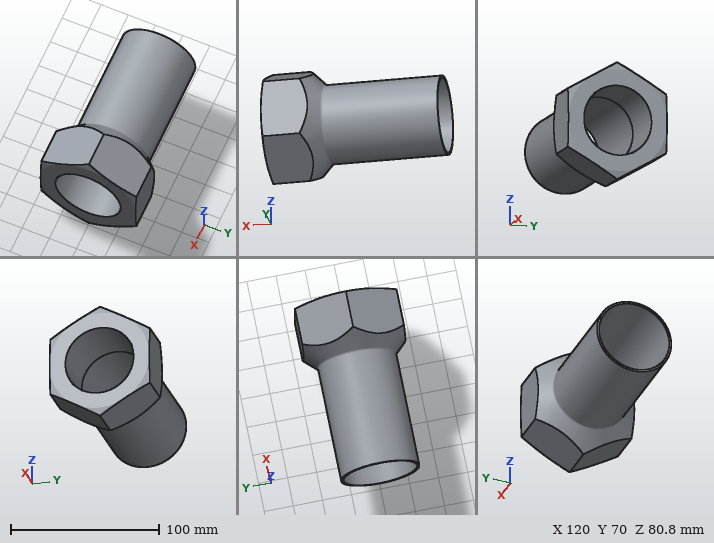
import cadquery as cq
import math

total_length = 120.0
tube_diameter = 54.0
tube_bore_diameter = 50.9
nut_bore_diameter = 48.0
across_flats = 70.0

tube_length = 79.1
blend_radius = 2.0
cone_angle = math.radians(45)

chamfer_angle = math.radians(15)

tube_radius = tube_diameter / 2
flat_radius = across_flats / 2
across_corners = across_flats / math.cos(math.radians(30))
corner_radius = across_corners / 2


def blend_point(angle):
    """Point on the concave blend where its tangent has turned by the given angle."""
    x = tube_length + blend_radius * math.sin(angle)
    radius = tube_radius + blend_radius * (1 - math.cos(angle))
    return (x, radius)


def turned_body():
    """Solid tube, concave blend, cone and chamfered head, turned about X."""
    cone_start = blend_point(cone_angle)
    cone_end_x = cone_start[0] + (corner_radius - cone_start[1]) / math.tan(cone_angle)
    chamfer_length = (corner_radius - flat_radius) * math.tan(chamfer_angle)
    return (
        cq.Workplane("XY")
        .lineTo(0, tube_radius)
        .lineTo(tube_length, tube_radius)
        .threePointArc(blend_point(cone_angle / 2), cone_start)
        .lineTo(cone_end_x, corner_radius)
        .lineTo(total_length - chamfer_length, corner_radius)
        .lineTo(total_length, flat_radius)
        .lineTo(total_length, 0)
        .close()
        .revolve(360, (0, 0, 0), (1, 0, 0))
    )


def hexagonal_bar():
    """Full-length hexagon with corners at the top and bottom."""
    return (
        cq.Workplane("YZ")
        .transformed(rotate=(0, 0, 90))
        .polygon(6, across_corners)
        .extrude(total_length)
    )


def bore(diameter, length):
    """Round cutter along X, starting at the open end of the tube."""
    return cq.Workplane("YZ").circle(diameter / 2).extrude(length)


result = (
    turned_body()
    .intersect(hexagonal_bar())
    .cut(bore(tube_bore_diameter, tube_length))
    .cut(bore(nut_bore_diameter, total_length))
)